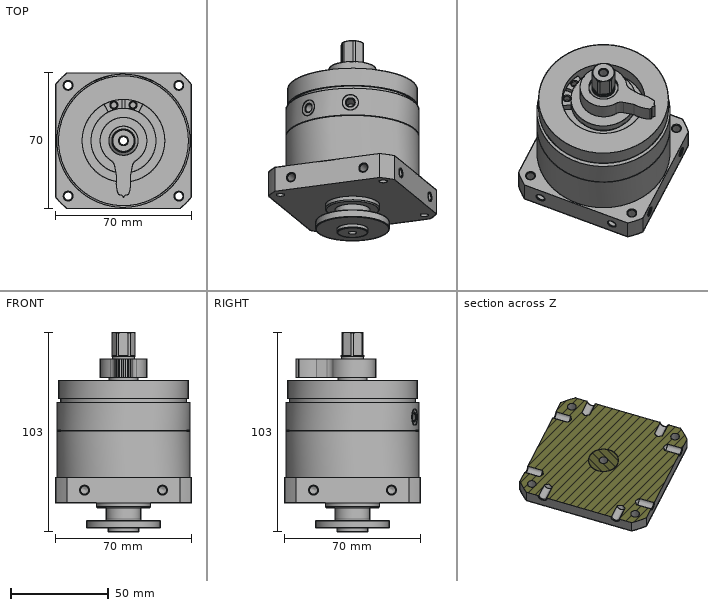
import cadquery as cq
import math

TOTAL_HEIGHT = 103.0
BOSS_TOP = 2.1
FLANGE_TOP = 6.1
PILOT_BOTTOM = 12.6
PLATE_BOTTOM = 15.1
PLATE_TOP = 28.2
SEAM_BOTTOM = 52.1
SEAM_WIDTH = 0.3
BODY_TOP = 67.0
RING_BOTTOM = 68.8
RING_TOP = 78.2
LEVER_BOTTOM = 79.6
LEVER_TOP = 89.3
NECK_TOP = 90.4
FLATS_BOTTOM = 91.1

PLATE_SIDE = 70.0
PLATE_CORNER_DIAMETER = 91.1
PILOT_DIAMETER = 28.0
PILOT_CHAMFER = 0.6
BODY_DIAMETER = 68.7
GROOVE_DIAMETER = 65.0
RING_DIAMETER = 67.0
POCKET_DIAMETER = 42.6
POCKET_DEPTH = 8.0

THREAD_DIAMETER = 4.2
THREAD_MOUTH = 5.0
DRILL_DEPTH = 8.2
DRILL_TIP_ANGLE = 118.0
CORNER_HOLE_OFFSET = 28.5
SIDE_HOLE_OFFSET = 20.1
PORT_ANGLE = 20.0
PORT_HEIGHT = 59.3
PORT_SEAT_DIAMETER = 8.3
PORT_SEAT_DISTANCE = 34.0

BLOCK_HEIGHT = 4.1
BLOCK_END_ANGLE = 28.0
BLOCK_GAP = 1.4
BLOCK_HOLE_DIAMETER = 3.2
BLOCK_HOLE_MOUTH = 4.1
BLOCK_HOLE_ANGLE = 15.0

BOSS_DIAMETER = 16.0
BOSS_CHAMFER = 0.4
FLANGE_DIAMETER = 38.0
FLANGE_CHAMFER = 0.3
STEM_DIAMETER = 18.0
STEM_FOOT_DIAMETER = 18.3
STEM_FOOT_HEIGHT = 0.6
DISC_DIAMETER = 33.5
DISC_THICKNESS = 4.0
HUB_DIAMETER = 29.0
SHAFT_DIAMETER = 15.0
NECK_DIAMETER = 11.5
DRIVE_DIAMETER = 12.0
DRIVE_ACROSS_FLATS = 11.0
DRIVE_END_CHAMFER = (0.3, 0.5)
SHOULDER_DEPTH = 0.4
SHOULDER_TOP = LEVER_TOP - SHOULDER_DEPTH

LEVER_HUB_RADIUS = 12.0
BLEND_START_Y = -10.1
BLEND_MIDDLE = (5.3, -11.3)
BLEND_END = (4.5, -13.2)
WAIST = (3.5, -18.6)
LOBE_MIDDLE = (3.6, -23.7)
LOBE_END = (2.7, -27.5)
TIP_FLAT_Y = -27.9
TIP_FLAT_HALF = 2.0
POINTER_HALF = 1.0
POINTER_Y = -29.1


def cylinder(diameter, bottom, top):
    return cq.Workplane("XY").workplane(offset=bottom).circle(diameter / 2).extrude(top - bottom)


def ring(outer, inner, bottom, top):
    return cylinder(outer, bottom, top).cut(cylinder(inner, bottom, top))


def threaded_hole(depth, bore=THREAD_DIAMETER, mouth=THREAD_MOUTH):
    """Cutter with a chamfered mouth at Z = 0, going down to a drill point."""
    bore_radius = bore / 2
    mouth_radius = mouth / 2
    tip = bore_radius / math.tan(math.radians(DRILL_TIP_ANGLE / 2))
    return (
        cq.Workplane("XZ")
        .moveTo(0, 0)
        .lineTo(mouth_radius, 0)
        .lineTo(bore_radius, bore_radius - mouth_radius)
        .lineTo(bore_radius, -depth)
        .lineTo(0, -depth - tip)
        .close()
        .revolve(360, (0, 0, 0), (0, 1, 0))
    )


def facing(cutter, distance, sideways, height, turn):
    """Lay a downward cutter so that it enters from the -Y side, then turn it about Z."""
    return (
        cutter.rotate((0, 0, 0), (1, 0, 0), 90)
        .translate((sideways, -distance, height))
        .rotate((0, 0, 0), (0, 0, 1), turn)
    )


def make_plate():
    thickness = PLATE_TOP - PLATE_BOTTOM
    base = cq.Workplane("XY").workplane(offset=PLATE_BOTTOM)
    plate = base.rect(PLATE_SIDE, PLATE_SIDE).extrude(thickness)
    plate = plate.intersect(cylinder(PLATE_CORNER_DIAMETER, PLATE_BOTTOM, PLATE_TOP))
    corner_hole = threaded_hole(thickness).translate((CORNER_HOLE_OFFSET, CORNER_HOLE_OFFSET, PLATE_TOP))
    side_hole = threaded_hole(DRILL_DEPTH)
    middle = (PLATE_BOTTOM + PLATE_TOP) / 2
    for turn in (0, 90, 180, 270):
        plate = plate.cut(corner_hole.rotate((0, 0, 0), (0, 0, 1), turn))
        for sideways in (-SIDE_HOLE_OFFSET, SIDE_HOLE_OFFSET):
            plate = plate.cut(facing(side_hole, PLATE_SIDE / 2, sideways, middle, turn))
    return plate


def make_housing():
    pilot = cylinder(PILOT_DIAMETER, PILOT_BOTTOM, PLATE_BOTTOM).faces("<Z").chamfer(PILOT_CHAMFER)
    housing = (
        make_plate()
        .union(pilot)
        .union(cylinder(BODY_DIAMETER, PLATE_TOP, BODY_TOP))
        .union(cylinder(GROOVE_DIAMETER, BODY_TOP, RING_BOTTOM))
        .union(cylinder(RING_DIAMETER, RING_BOTTOM, RING_TOP))
    )
    seam = ring(PLATE_SIDE, GROOVE_DIAMETER, SEAM_BOTTOM, SEAM_BOTTOM + SEAM_WIDTH)
    pocket = cylinder(POCKET_DIAMETER, RING_TOP - POCKET_DEPTH, RING_TOP)
    shaft_bore = cylinder(SHAFT_DIAMETER, PILOT_BOTTOM, RING_TOP)
    housing = housing.cut(seam).cut(pocket).cut(shaft_bore)

    seat = cylinder(PORT_SEAT_DIAMETER, 0, BODY_DIAMETER / 2 - PORT_SEAT_DISTANCE)
    port = threaded_hole(DRILL_DEPTH).union(seat)
    for turn in (180 - PORT_ANGLE, 180 + PORT_ANGLE):
        housing = housing.cut(facing(port, PORT_SEAT_DISTANCE, 0, PORT_HEIGHT, turn))
    return housing


def make_stop_block(side):
    """Block between the pocket wall and the rotor disc; side is -1 for the one on -X and 1 for the one on +X."""
    bottom = RING_TOP - POCKET_DEPTH
    top = bottom + BLOCK_HEIGHT
    reach = POCKET_DIAMETER
    floor = cq.Workplane("XY").workplane(offset=bottom)
    wedge = (
        floor
        .polyline([
            (0, 0),
            (reach * math.tan(math.radians(BLOCK_END_ANGLE)), reach),
            (0, reach),
        ])
        .close()
        .extrude(BLOCK_HEIGHT)
    )
    gap = floor.rect(BLOCK_GAP, 2 * reach).extrude(BLOCK_HEIGHT)
    block = ring(POCKET_DIAMETER, DISC_DIAMETER, bottom, top).intersect(wedge).cut(gap)
    middle_radius = (POCKET_DIAMETER + DISC_DIAMETER) / 4
    hole = threaded_hole(BLOCK_HEIGHT, BLOCK_HOLE_DIAMETER, BLOCK_HOLE_MOUTH)
    hole = hole.translate((0, middle_radius, top)).rotate((0, 0, 0), (0, 0, 1), -BLOCK_HOLE_ANGLE)
    block = block.cut(hole)
    return block if side > 0 else block.mirror("YZ")


def mirrored(point):
    return (-point[0], point[1])


def make_lever():
    blend_start = (math.sqrt(LEVER_HUB_RADIUS ** 2 - BLEND_START_Y ** 2), BLEND_START_Y)
    outline = (
        cq.Workplane("XY")
        .workplane(offset=LEVER_BOTTOM)
        .moveTo(*mirrored(blend_start))
        .threePointArc((0, LEVER_HUB_RADIUS), blend_start)
        .threePointArc(BLEND_MIDDLE, BLEND_END)
        .lineTo(*WAIST)
        .threePointArc(LOBE_MIDDLE, LOBE_END)
        .lineTo(TIP_FLAT_HALF, TIP_FLAT_Y)
        .lineTo(POINTER_HALF, TIP_FLAT_Y)
        .lineTo(0, POINTER_Y)
        .lineTo(-POINTER_HALF, TIP_FLAT_Y)
        .lineTo(-TIP_FLAT_HALF, TIP_FLAT_Y)
        .lineTo(*mirrored(LOBE_END))
        .threePointArc(mirrored(LOBE_MIDDLE), mirrored(WAIST))
        .lineTo(*mirrored(BLEND_END))
        .threePointArc(mirrored(BLEND_MIDDLE), mirrored(blend_start))
        .close()
    )
    lever = outline.extrude(LEVER_TOP - LEVER_BOTTOM)
    return lever.cut(cylinder(SHAFT_DIAMETER, LEVER_BOTTOM, LEVER_TOP))


def make_shaft():
    boss = cylinder(BOSS_DIAMETER, 0, BOSS_TOP).faces("<Z").chamfer(BOSS_CHAMFER)
    flange = cylinder(FLANGE_DIAMETER, BOSS_TOP, FLANGE_TOP).edges().chamfer(FLANGE_CHAMFER)
    stem_foot = (
        cq.Workplane("XY")
        .workplane(offset=FLANGE_TOP)
        .circle(STEM_FOOT_DIAMETER / 2)
        .workplane(offset=STEM_FOOT_HEIGHT)
        .circle(STEM_DIAMETER / 2)
        .loft()
    )
    disc_bottom = RING_TOP - DISC_THICKNESS
    shoulder_chamfer = (SHAFT_DIAMETER - DRIVE_DIAMETER) / 2
    journal = cylinder(SHAFT_DIAMETER, PILOT_BOTTOM, SHOULDER_TOP).faces(">Z").chamfer(shoulder_chamfer)
    corner_diameter = DRIVE_ACROSS_FLATS / math.cos(math.pi / 6)
    hexagon = (
        cq.Workplane("XY")
        .workplane(offset=FLATS_BOTTOM)
        .polygon(6, corner_diameter)
        .extrude(TOTAL_HEIGHT - FLATS_BOTTOM)
    )
    drive_round = cylinder(DRIVE_DIAMETER, FLATS_BOTTOM, TOTAL_HEIGHT)
    drive_round = drive_round.faces(">Z").chamfer(*DRIVE_END_CHAMFER)
    drive = hexagon.intersect(drive_round)
    return (
        boss.union(flange)
        .union(cylinder(STEM_DIAMETER, FLANGE_TOP, PILOT_BOTTOM))
        .union(stem_foot)
        .union(journal)
        .union(cylinder(DISC_DIAMETER, disc_bottom, RING_TOP))
        .union(cylinder(HUB_DIAMETER, RING_TOP - POCKET_DEPTH, disc_bottom))
        .union(cylinder(NECK_DIAMETER, SHOULDER_TOP, NECK_TOP))
        .union(cylinder(DRIVE_DIAMETER, NECK_TOP, FLATS_BOTTOM))
        .union(drive)
    )


def make_rotor():
    """Shaft with its lever, bored through along the axis."""
    bore = threaded_hole(TOTAL_HEIGHT).translate((0, 0, TOTAL_HEIGHT))
    return make_shaft().union(make_lever()).cut(bore)


housing = make_housing()
rotor = make_rotor()
stop_blocks = [make_stop_block(side) for side in (-1, 1)]

result = cq.Compound.makeCompound([
    housing.val(),
    rotor.val(),
    *[block.val() for block in stop_blocks],
])